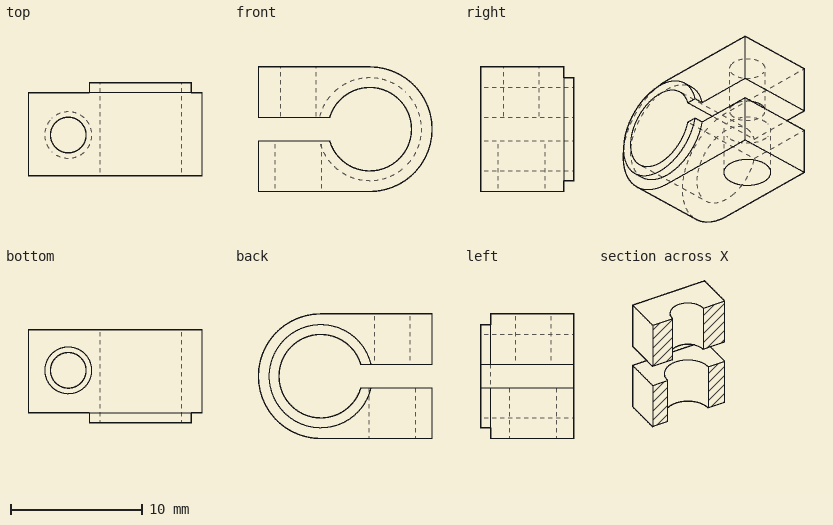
import cadquery as cq

height = 9.525
end_radius = height / 2
length = 13.26
depth = 6.35
bore_center_x = length - end_radius
slot_width = 1.775

bore_diameter = 6.35
ring_diameter = 7.87
ring_height = 0.76
total_depth = depth + ring_height

screw_x = 3.05
screw_y = 3.11
upper_hole_diameter = 2.7
lower_hole_diameter = 3.57


def make_body():
    """Block with a semicircular end centred on the bore axis."""
    profile = (
        cq.Workplane("XZ")
        .moveTo(0, -end_radius)
        .lineTo(bore_center_x, -end_radius)
        .threePointArc((length, 0), (bore_center_x, end_radius))
        .lineTo(0, end_radius)
        .close()
    )
    return profile.extrude(-depth)


def cylinder_along_y(diameter, y_length):
    """Cylinder on the bore axis, running from the -Y face toward +Y."""
    return (
        cq.Workplane("XZ")
        .center(bore_center_x, 0)
        .circle(diameter / 2)
        .extrude(-y_length)
    )


def make_slot():
    """Slot from the flat end to the bore axis, through the body and ring."""
    return cq.Workplane("XY").box(
        bore_center_x, total_depth, slot_width, centered=(False, False, True)
    )


def make_screw_hole(diameter, z_end):
    """Vertical hole from the middle of the slot out through one jaw."""
    return (
        cq.Workplane("XY")
        .center(screw_x, screw_y)
        .circle(diameter / 2)
        .extrude(z_end)
    )


result = (
    make_body()
    .union(cylinder_along_y(ring_diameter, total_depth))
    .cut(cylinder_along_y(bore_diameter, total_depth))
    .cut(make_slot())
    .cut(make_screw_hole(upper_hole_diameter, end_radius))
    .cut(make_screw_hole(lower_hole_diameter, -end_radius))
)